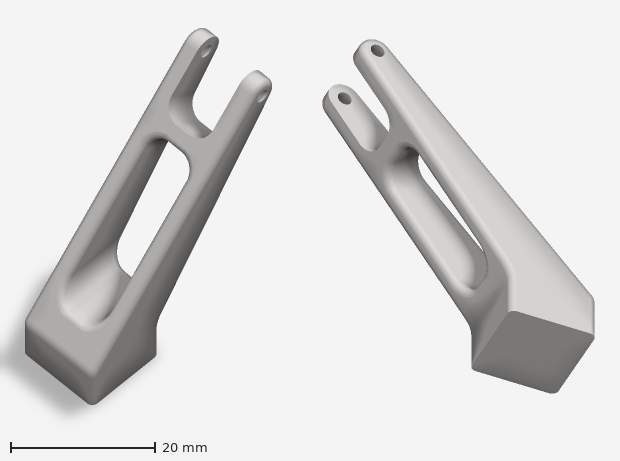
import cadquery as cq
import math

width = 13.8
overall_depth = 35.95
overall_height = 42.9
base_depth = 13.2
front_corner_z = 7.05
rear_corner_z = 7.3
front_corner_radius = 2.0
rear_corner_radius = 5.02
edge_radius = 1.0

tip_radius = 2.5
tip_y = overall_depth - tip_radius
tip_z = overall_height - tip_radius
hole_diameter = 2.1

opening_width = 8.25
opening_corner_radius = 2.9
fork_floor_z = 34.4
window_top_z = 32.2
window_floor_z = 10.6
cutter_reach = 17.15


def lean_angle(corner_y, corner_z, side):
    """Angle above +Y of the line from a corner tangent to the tip; side is +1 (front) or -1 (rear)."""
    run = tip_y - corner_y
    rise = tip_z - corner_z
    return math.atan2(rise, run) + side * math.asin(tip_radius / math.hypot(run, rise))


def tip_point(angle):
    """Point on the tip circle in the given direction above +Y."""
    return tip_y + tip_radius * math.cos(angle), tip_z + tip_radius * math.sin(angle)


front_angle = lean_angle(0, front_corner_z, 1)
rear_angle = lean_angle(base_depth, rear_corner_z, -1)
arm_angle = (front_angle + rear_angle) / 2
cross_slope = -1 / math.tan(arm_angle)


def extrude_across(profile, length):
    """Extrude a closed YZ profile symmetrically about X = 0."""
    return profile.extrude(length / 2, both=True)


def make_body():
    quarter_turn = math.pi / 2
    profile = (
        cq.Workplane("YZ")
        .moveTo(0, 0)
        .lineTo(base_depth, 0)
        .lineTo(base_depth, rear_corner_z)
        .lineTo(*tip_point(rear_angle - quarter_turn))
        .threePointArc(tip_point(arm_angle), tip_point(front_angle + quarter_turn))
        .lineTo(0, front_corner_z)
        .close()
    )
    body = extrude_across(profile, width)
    front_corner = cq.NearestToPointSelector((0, 0, front_corner_z))
    rear_corner = cq.NearestToPointSelector((0, base_depth, rear_corner_z))
    body = body.edges("|X").edges(front_corner).fillet(front_corner_radius)
    body = body.edges("|X").edges(rear_corner).fillet(rear_corner_radius)
    return body.faces("<X or >X").edges("not <Z").fillet(edge_radius)


def front_face_y(z):
    return (z - front_corner_z) / math.tan(front_angle)


def cross_wall(front_z):
    """Ends, before and behind the arm, of a wall square to the arm that meets the front face at front_z."""
    front_y = front_face_y(front_z)
    return [
        (front_y + step, front_z + step * cross_slope)
        for step in (-cutter_reach, cutter_reach)
    ]


def round_wall_ends(cutter, wall):
    """Round the two long edges of a cutter that bound the given wall."""
    (start_y, start_z), (end_y, end_z) = wall
    for side in (-1, 1):
        edge_middle = (side * opening_width / 2, (start_y + end_y) / 2, (start_z + end_z) / 2)
        cutter = cutter.edges(cq.NearestToPointSelector(edge_middle)).fillet(opening_corner_radius)
    return cutter


def make_window():
    upper_wall = cross_wall(window_top_z)
    floor = [(upper_wall[1][0], window_floor_z), (-cutter_reach, window_floor_z)]
    profile = cq.Workplane("YZ").polyline(upper_wall + floor).close()
    cutter = extrude_across(profile, opening_width)
    return round_wall_ends(round_wall_ends(cutter, upper_wall), floor)


def make_fork_slot():
    floor = cross_wall(fork_floor_z)
    along_y = 2 * cutter_reach * math.cos(arm_angle)
    along_z = 2 * cutter_reach * math.sin(arm_angle)
    open_end = [(y + along_y, z + along_z) for y, z in reversed(floor)]
    profile = cq.Workplane("YZ").polyline(floor + open_end).close()
    return round_wall_ends(extrude_across(profile, opening_width), floor)


def round_window_rims(body):
    """Round the window's edges on the front and rear faces, the only faces with openings."""
    rim_edges = [
        edge
        for face in body.faces().vals()
        for wire in face.innerWires()
        for edge in wire.Edges()
    ]
    return body.newObject(rim_edges).fillet(edge_radius)


def make_tip_hole():
    return extrude_across(cq.Workplane("YZ").center(tip_y, tip_z).circle(hole_diameter / 2), width)


result = round_window_rims(make_body().cut(make_window()))
result = result.cut(make_fork_slot()).cut(make_tip_hole())